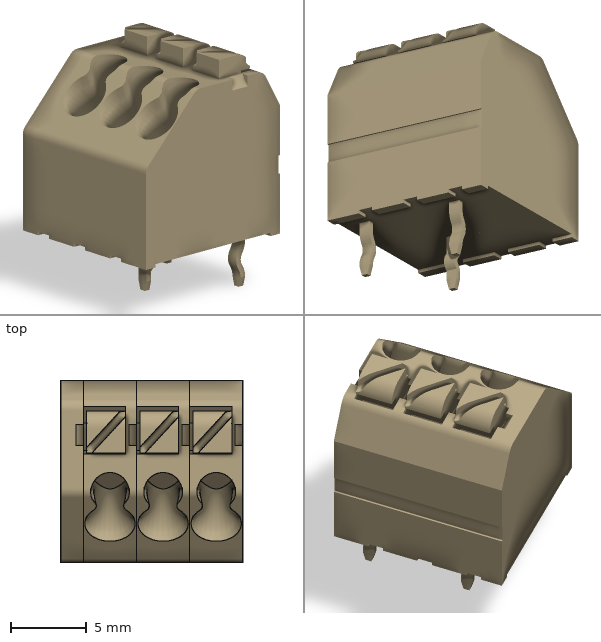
import cadquery as cq
import math


block_width = 12.0
block_depth = 12.0
block_height = 11.5
pole_count = 3
plate_thickness = 1.5
pitch = (block_width - plate_thickness) / pole_count

slope_bottom = 6.93
slope_run = 4.52
rear_slope_bottom = 8.83
rear_slope_run = 1.53
edge_radius = 0.8
rear_groove_bottom = 4.12
rear_groove_height = 1.29
rear_groove_depth = 0.13
foot_length = 0.85
foot_height = 0.23
foot_gap_width = 1.05

slope_rise = block_height - slope_bottom
slope_length = math.hypot(slope_run, slope_rise)
into_slope = (slope_rise / slope_length, -slope_run / slope_length)
funnel_center_y = 2.56
funnel_center_z = slope_bottom + funnel_center_y * slope_rise / slope_run
funnel_mouth_radius = 3.31 / 2
funnel_taper = 0.2
funnel_depth = 4.89
bore_radius = 1.27
bore_center_y = 4.6
bore_lean = math.radians(17)
bore_depth = 5.26
entry_overrun = 0.65
bore_cutter_length = 7.99
ridge_radius = 0.49

pocket_width = 2.77
pocket_front = 7.15
pocket_rear = 10.27
pocket_depth = 1.63
ledge_rear = 9.18
ledge_radius = 0.64
ledge_roll = math.radians(44)
ramp_length = 0.21
ramp_height = 0.33
ledge_z = block_height - pocket_depth + ledge_radius * (1 - math.cos(ledge_roll))
ramp_top_z = ledge_z + ramp_height

notch_width = 0.5
notch_depth = 0.75
notch_front = 7.71
notch_rear = 9.08

button_offset = 0.21
button_width = pocket_width - button_offset
button_front = 7.2
button_rear = 9.98
stem_rear = 9.16
button_top = 12.81
nose_z = block_height + 0.15
nose_radius = button_top - nose_z
slot_width = 0.5
slot_depth = 0.98
slot_length = 9.78

peg_diameter = 1.2
peg_centers = [(10.56, 8.38), (10.7, 5.7), (1.83, 7.07), (3.21, 3.4), (1.45, 1.4)]

pin_width = 0.8
pin_center = 1.87
pin_thickness = 0.4
pin_tip_z = -3.49
tip_length = 0.68
tip_width = 0.42
kink_z = -1.56
rear_pin_y = 9.78
front_pin_y = 4.6
rear_kink_depth = -0.39
front_kink_depth = 0.3
rear_kink_length = 2.5
front_kink_length = 1.22
rear_outer_share = 0.6
front_outer_share = 0.28


def block_slice(left, width):
    """A slice of the block's side outline, with rounded upper edges and the groove across its rear."""
    rear_groove_top = rear_groove_bottom + rear_groove_height
    groove_floor = block_depth - rear_groove_depth
    outline = [
        (0, 0),
        (foot_length, 0),
        (foot_length, foot_height),
        (block_depth - foot_length, foot_height),
        (block_depth - foot_length, 0),
        (block_depth, 0),
        (block_depth, rear_groove_bottom),
        (groove_floor, rear_groove_bottom),
        (groove_floor, rear_groove_top),
        (block_depth, rear_groove_top),
        (block_depth, rear_slope_bottom),
        (block_depth - rear_slope_run, block_height),
        (slope_run, block_height),
        (0, slope_bottom),
    ]
    body = cq.Workplane("YZ").polyline(outline).close().extrude(width)
    rounded_corners = [
        (0, slope_bottom),
        (slope_run, block_height),
        (block_depth - rear_slope_run, block_height),
    ]
    for corner in rounded_corners:
        corner_edge = cq.selectors.NearestToPointSelector((width / 2, *corner))
        body = body.edges(corner_edge).fillet(edge_radius)
    return body.translate((left, 0, 0))


def notch(right):
    """Cutter for the sloped notch that deepens towards the given right side."""
    return (
        cq.Workplane("XZ", origin=(right, notch_front, block_height))
        .polyline([(-notch_width, 0), (0, 0), (0, -notch_depth)])
        .close()
        .extrude(notch_front - notch_rear)
    )


def pegs(left, length):
    """Round pegs along X."""
    return (
        cq.Workplane("YZ", origin=(left, 0, 0))
        .pushPoints(peg_centers)
        .circle(peg_diameter / 2)
        .extrude(length)
    )


def end_plate():
    """The plate that closes the left end, with through holes for the pegs of the first pole."""
    plate = block_slice(0, plate_thickness)
    return plate.cut(notch(plate_thickness)).cut(pegs(0, plate_thickness))


def wire_entry(center_x):
    """Cutter for the funnel in the slope and the leaning bore, blended and ending at one flat floor."""
    into_funnel = cq.Vector(0, *into_slope)
    funnel_mouth = cq.Vector(center_x, funnel_center_y, funnel_center_z)
    funnel = cq.Solid.makeCone(
        funnel_mouth_radius + entry_overrun * funnel_taper,
        funnel_mouth_radius - funnel_depth * funnel_taper,
        funnel_depth + entry_overrun,
        funnel_mouth - into_funnel * entry_overrun,
        into_funnel,
    )
    down_bore = cq.Vector(0, math.sin(bore_lean), -math.cos(bore_lean))
    bore_start = cq.Vector(center_x, bore_center_y, block_height) - down_bore * entry_overrun
    bore = cq.Solid.makeCylinder(bore_radius, bore_cutter_length, bore_start, down_bore)
    entry = cq.Workplane(funnel).union(cq.Workplane(bore))
    entry = entry.edges("%BSPLINE").fillet(ridge_radius)
    above_floor = cq.Solid.makeCylinder(block_depth, bore_depth + entry_overrun, bore_start, down_bore)
    return entry.intersect(cq.Workplane(above_floor))


def button_pocket(left):
    """Cutter for the button pocket, whose floor has a ledge with a rounded rear and a front ramp."""
    floor_z = block_height - pocket_depth
    roll_center_y = ledge_rear - ledge_radius * math.sin(ledge_roll)
    roll_middle = (
        roll_center_y + ledge_radius * math.sin(ledge_roll / 2),
        ledge_z - ledge_radius * (1 - math.cos(ledge_roll / 2)),
    )
    return (
        cq.Workplane("YZ", origin=(left, 0, 0))
        .moveTo(pocket_front, block_height)
        .lineTo(pocket_front, ramp_top_z)
        .lineTo(pocket_front + ramp_length, ledge_z)
        .lineTo(roll_center_y, ledge_z)
        .threePointArc(roll_middle, (ledge_rear, floor_z))
        .lineTo(pocket_rear, floor_z)
        .lineTo(pocket_rear, block_height)
        .close()
        .extrude(pocket_width)
    )


def pole(left):
    """A pole with its wire entry, button pocket and side notch; its left side starts at the given X."""
    foot_gap = (
        cq.Workplane("XY", origin=(left, 0, 0))
        .box(foot_gap_width, block_depth, foot_height, centered=False)
    )
    return (
        block_slice(left, pitch)
        .cut(foot_gap)
        .cut(wire_entry(left + pitch / 2))
        .cut(button_pocket(left))
        .cut(notch(left + pitch))
    )


def button(pole_left):
    """A push button with a rounded overhanging nose and a diagonal round-bottomed driver slot."""
    left = pole_left + button_offset
    body = (
        cq.Workplane("YZ", origin=(left, 0, 0))
        .moveTo(button_front, ramp_top_z)
        .lineTo(button_front, button_top)
        .lineTo(button_rear - nose_radius, button_top)
        .radiusArc((button_rear, nose_z), nose_radius)
        .lineTo(stem_rear, nose_z)
        .lineTo(stem_rear, ramp_top_z)
        .close()
        .extrude(button_width)
    )
    slot_angle = math.degrees(math.atan2(button_rear - button_front, button_width))
    half_slot = slot_width / 2
    slot = (
        cq.Workplane("YZ", origin=(-slot_length / 2, 0, 0))
        .moveTo(-half_slot, 0)
        .lineTo(-half_slot, half_slot - slot_depth)
        .threePointArc((0, -slot_depth), (half_slot, half_slot - slot_depth))
        .lineTo(half_slot, 0)
        .close()
        .extrude(slot_length)
        .rotate((0, 0, 0), (0, 0, 1), slot_angle)
        .translate((left, button_front, button_top))
    )
    return body.cut(slot)


def pin(center_x, center_y, kink_depth, kink_length, outer_share):
    """A flat solder pin with a smooth sideways kink and a tapered tip, hanging from the underside."""
    half_kink = kink_length / 2
    turn_y = center_y + kink_depth * outer_share
    turn_rise = half_kink * (1 - outer_share)
    path = (
        cq.Workplane("YZ", origin=(center_x, 0, 0))
        .moveTo(center_y, foot_height)
        .lineTo(center_y, kink_z + half_kink)
        .tangentArcPoint((turn_y, kink_z + turn_rise), relative=False)
        .tangentArcPoint((turn_y, kink_z - turn_rise), relative=False)
        .tangentArcPoint((center_y, kink_z - half_kink), relative=False)
        .lineTo(center_y, pin_tip_z)
    )
    strip = (
        cq.Workplane("XY", origin=(center_x, center_y, foot_height))
        .rect(pin_width, pin_thickness)
        .sweep(path)
    )
    taper_z = pin_tip_z + tip_length
    front_outline = (
        cq.Workplane("XZ", origin=(center_x, 0, 0))
        .polyline(
            [
                (-pin_width / 2, foot_height),
                (-pin_width / 2, taper_z),
                (-tip_width / 2, pin_tip_z),
                (tip_width / 2, pin_tip_z),
                (pin_width / 2, taper_z),
                (pin_width / 2, foot_height),
            ]
        )
        .close()
        .extrude(-block_depth)
    )
    return strip.intersect(front_outline)


poles = []
buttons = []
pins = []
for index in range(pole_count):
    pole_left = plate_thickness + index * pitch
    pole_body = pole(pole_left)
    if index == 0:
        pole_body = pole_body.union(pegs(0, plate_thickness))
    poles.append(pole_body.val())
    buttons.append(button(pole_left).val())

    pin_x = pole_left + pin_center
    if index % 2 == 0:
        pin_body = pin(pin_x, rear_pin_y, rear_kink_depth, rear_kink_length, rear_outer_share)
    else:
        pin_body = pin(pin_x, front_pin_y, front_kink_depth, front_kink_length, front_outer_share)
    pins.append(pin_body.val())

result = cq.Compound.makeCompound([end_plate().val(), *poles, *buttons, *pins])